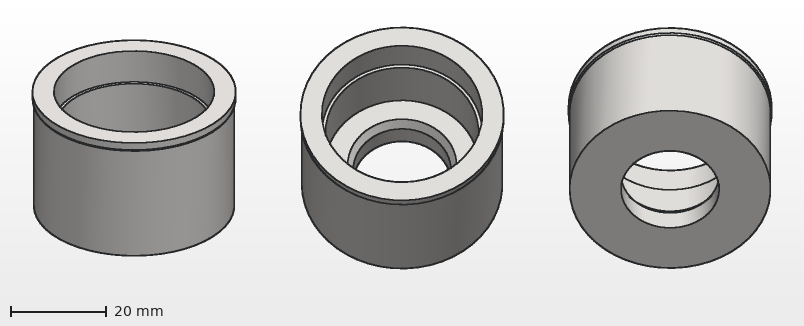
import cadquery as cq

outer_diameter = 42.5
height = 27.5

barrel_diameter = 42.0
collar_height = 1.7
collar_taper_height = 0.42

upper_bore_diameter = 33.5
upper_bore_depth = 7.5
main_bore_diameter = 32.0
main_bore_depth = 20.5

hole_diameter = 20.5
lead_in_diameter = 22.8
lead_in_depth = 2.0


def make_body():
    """Barrel with a collar at the top and a short cone between the two."""
    outer_radius = outer_diameter / 2
    barrel_radius = barrel_diameter / 2
    collar_bottom = height - collar_height
    profile = (
        cq.Workplane("XZ")
        .moveTo(0, 0)
        .lineTo(barrel_radius, 0)
        .lineTo(barrel_radius, collar_bottom - collar_taper_height)
        .lineTo(outer_radius, collar_bottom)
        .lineTo(outer_radius, height)
        .lineTo(0, height)
        .close()
    )
    return profile.revolve(360, (0, 0, 0), (0, 1, 0))


def make_cavity():
    """Stepped bore, conical lead-in and through hole as one turned solid."""
    upper_radius = upper_bore_diameter / 2
    main_radius = main_bore_diameter / 2
    lead_in_radius = lead_in_diameter / 2
    hole_radius = hole_diameter / 2
    ledge = height - upper_bore_depth
    floor = height - main_bore_depth
    profile = (
        cq.Workplane("XZ")
        .moveTo(0, 0)
        .lineTo(hole_radius, 0)
        .lineTo(hole_radius, floor - lead_in_depth)
        .lineTo(lead_in_radius, floor)
        .lineTo(main_radius, floor)
        .lineTo(main_radius, ledge)
        .lineTo(upper_radius, ledge)
        .lineTo(upper_radius, height)
        .lineTo(0, height)
        .close()
    )
    return profile.revolve(360, (0, 0, 0), (0, 1, 0))


result = make_body().cut(make_cavity())